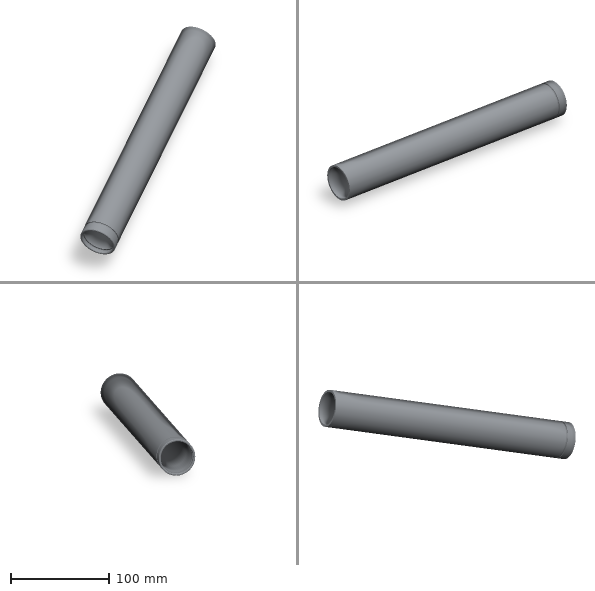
import cadquery as cq

length = 277.2
outer_diameter = 38.0
bore_diameter = 33.8
rim_chamfer = 0.5

groove_width = 1.7
outer_groove_diameter = 36.3
outer_groove_offset = 9.5
inner_groove_diameter = 36.0
inner_groove_offset = 4.0

front_y = -length / 2


def ring(outside, inside, start_y, depth):
    """Ring about the Y axis, running toward +Y from start_y."""
    profile = cq.Workplane("XZ", origin=(0, start_y, 0)).circle(outside / 2).circle(inside / 2)
    return profile.extrude(-depth)


tube = ring(outer_diameter, bore_diameter, front_y, length)
tube = tube.faces("<Y").edges().chamfer(rim_chamfer)

outer_groove = ring(
    outer_diameter, outer_groove_diameter, front_y + outer_groove_offset, groove_width
)
inner_groove = ring(
    inner_groove_diameter, bore_diameter, front_y + inner_groove_offset, groove_width
)

result = tube.cut(outer_groove).cut(inner_groove)